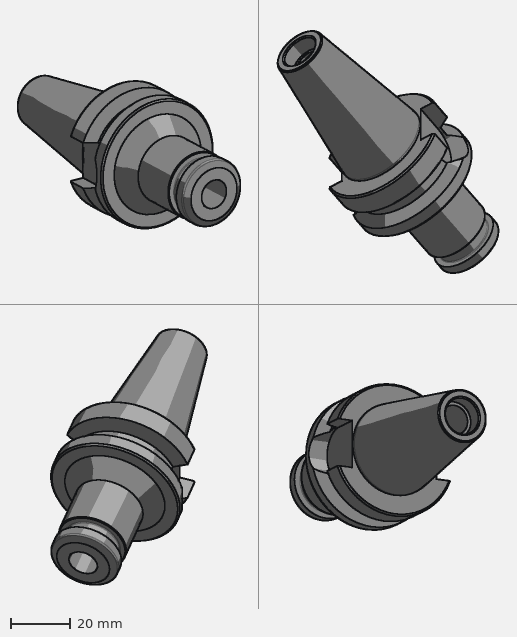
import cadquery as cq
import math

overall_length = 104.11

gauge_diameter = 31.75
shank_end_diameter = 18.2
taper_length = 48.4
shank_end_chamfer = 0.4

flange_diameter = 45.92
flange_start = 1.0
flange_end = 22.2
flange_chamfer = 0.6
groove_diameter = 37.8
groove_mouth_start = 9.0
groove_floor_start = 11.5
groove_floor_end = 14.85
groove_mouth_end = 17.4

nose_diameter = 24.0
nose_cone_end = 28.0
nose_cone_height = nose_cone_end - flange_end
ring_groove_diameter = 19.43
ring_groove_start = 46.1
ring_groove_end = 50.75
ring_edge_chamfer = 0.3
ring_floor_fillet = 0.3
nose_chamfer_length = 1.5
nose_chamfer_angle = 60.0
nose_corner_radius = 0.75

slot_width = 16.4
slot_floor_offset = 16.03
slot_end = 19.4

through_diameter = 10.16
drawbar_bore_diameter = 12.55
drawbar_bore_depth = 6.0
drawbar_mouth_diameter = 13.5

shank_start = -taper_length
nose_end = overall_length - taper_length
gauge_radius = gauge_diameter / 2
shank_end_radius = shank_end_diameter / 2
taper_slope = (gauge_radius - shank_end_radius) / taper_length
flange_radius = flange_diameter / 2
groove_radius = groove_diameter / 2
nose_radius = nose_diameter / 2
ring_groove_radius = ring_groove_diameter / 2
nose_tip_radius = nose_radius - nose_chamfer_length * math.tan(math.radians(nose_chamfer_angle))


def revolve_about_axis(profile):
    """Solid of revolution about the X axis from a closed outline of (x, radius) points."""
    return cq.Workplane("XY").polyline(profile).close().revolve(360, (0, 0, 0), (1, 0, 0))


def circle_at(x, radius):
    """Selector for the circular edge of the given radius, centred on the axis at x."""
    tolerance = 0.01
    low_corner = (x - tolerance, -radius - tolerance, -radius - tolerance)
    high_corner = (x + tolerance, radius + tolerance, radius + tolerance)
    return cq.selectors.BoxSelector(low_corner, high_corner, boundingbox=True)


def turned_body():
    """Outer shape of the holder, with the ring groove floor and nose corner rounded."""
    profile = [
        (shank_start, 0),
        (shank_start, shank_end_radius - shank_end_chamfer),
        (shank_start + shank_end_chamfer, shank_end_radius + shank_end_chamfer * taper_slope),
        (0, gauge_radius),
        (flange_start, gauge_radius),
        (flange_start, flange_radius - flange_chamfer),
        (flange_start + flange_chamfer, flange_radius),
        (groove_mouth_start, flange_radius),
        (groove_floor_start, groove_radius),
        (groove_floor_end, groove_radius),
        (groove_mouth_end, flange_radius),
        (flange_end - flange_chamfer, flange_radius),
        (flange_end, flange_radius - flange_chamfer),
        (flange_end, nose_radius + nose_cone_height),
        (nose_cone_end, nose_radius),
        (ring_groove_start - ring_edge_chamfer, nose_radius),
        (ring_groove_start, nose_radius - ring_edge_chamfer),
        (ring_groove_start, ring_groove_radius),
        (ring_groove_end, ring_groove_radius),
        (ring_groove_end, nose_radius),
        (nose_end - nose_chamfer_length, nose_radius),
        (nose_end, nose_tip_radius),
        (nose_end, 0),
    ]
    body = revolve_about_axis(profile)
    for x in (ring_groove_start, ring_groove_end):
        body = body.edges(circle_at(x, ring_groove_radius)).fillet(ring_floor_fillet)
    return body.edges(circle_at(nose_end - nose_chamfer_length, nose_radius)).fillet(nose_corner_radius)


def axial_bore():
    """Through hole with a wider, countersunk drawbar bore at the shank end."""
    through_radius = through_diameter / 2
    drawbar_radius = drawbar_bore_diameter / 2
    mouth_radius = drawbar_mouth_diameter / 2
    countersink_depth = mouth_radius - drawbar_radius
    profile = [
        (shank_start, 0),
        (shank_start, mouth_radius),
        (shank_start + countersink_depth, drawbar_radius),
        (shank_start + drawbar_bore_depth, drawbar_radius),
        (shank_start + drawbar_bore_depth, through_radius),
        (nose_end, through_radius),
        (nose_end, 0),
    ]
    return revolve_about_axis(profile)


def driving_slot(side):
    """Flat-bottomed slot with a round end, open to the flange front; side is +1 or -1 along Y."""
    slot_radius = slot_width / 2
    round_center = slot_end - slot_radius
    outline = (
        cq.Workplane("XZ", origin=(0, side * slot_floor_offset, 0))
        .moveTo(0, -slot_radius)
        .lineTo(round_center, -slot_radius)
        .threePointArc((slot_end, 0), (round_center, slot_radius))
        .lineTo(0, slot_radius)
        .close()
    )
    return outline.extrude(-side * flange_radius)


result = turned_body().cut(axial_bore())
for side in (1, -1):
    result = result.cut(driving_slot(side))